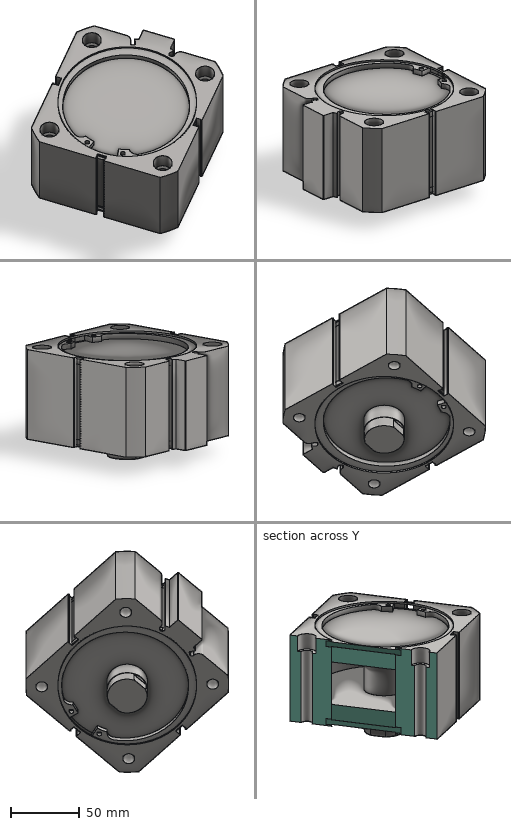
import cadquery as cq
import math

body_width = 115.0
body_height = 67.5
half_width = body_width / 2
corner_radius = 74.5
bore_radius = 50.95
bolt_spacing = 88.8
bolt_hole_diameter = 8.6
counterbore_diameter = 13.8
counterbore_depth = 12.0

slot_width = 6.8
slot_depth = 4.5
slot_mouth_width = 6.2
slot_throat_width = 5.4
slot_taper = 0.4
slot_lip = 0.9

rail_half_width = 12.35
rail_height = 9.0
rail_edge_chamfer = 0.4
rail_tip_x = 15.2
rail_tip_drop = 1.3
rail_tip_flat = 0.4
groove_radius = 2.0
groove_centre_y = 52.7
groove_entry_radius = 5.0

ring_recess = 1.4
ring_thickness = 4.0
ring_radius = 53.15
ring_inner_radius = 46.6
ring_inner_offset = 2.3
ear_radius = 43.45
ear_start_angle = 12.8
ear_end_angle = 23.3
ear_root_angle = 33.0
ear_hole_angle = 17.4
ear_hole_radius = 47.05
ear_hole_diameter = 3.3
ring_turn = -0.8

cover_thickness = 12.0

rod_radius = 15.0
rod_length_outside = 15.0
rod_shoulder = 6.6
rod_end_radius = 14.75
flat_distance = 27.0
end_chamfer_height = 1.0
end_chamfer_width = 0.25

cover_base = ring_recess + ring_thickness
cap_top = body_height - cover_base
cap_base = cap_top - cover_thickness


def make_block():
    """Square block with its corners rounded about the bore axis."""
    cylinder = cq.Workplane("XY").circle(corner_radius).extrude(body_height)
    block = cq.Workplane("XY").rect(body_width, body_width).extrude(body_height)
    return block.intersect(cylinder)


def make_rail():
    rail = (
        cq.Workplane("XY")
        .rect(2 * rail_half_width, 2 * rail_height)
        .extrude(body_height)
        .edges("|Z and >Y")
        .chamfer(rail_edge_chamfer)
    )
    return rail.translate((0, half_width, 0))


def make_slot():
    """Cutter for the lipped slot in the -Y side."""
    face_y = -half_width
    taper_y = face_y + slot_taper
    lip_y = face_y + slot_lip
    floor_y = face_y + slot_depth
    half_outline = [
        (slot_mouth_width / 2, face_y),
        (slot_throat_width / 2, taper_y),
        (slot_throat_width / 2, lip_y),
        (slot_width / 2, lip_y),
        (slot_width / 2, floor_y),
    ]
    other_half = [(-x, y) for x, y in reversed(half_outline)]
    return cq.Workplane("XY").polyline(half_outline + other_half).close().extrude(body_height)


def make_rail_groove():
    """Cutter for the undercut groove on the +X flank of the rail."""
    outer_x = rail_tip_x + groove_radius
    entry_x = outer_x + groove_entry_radius
    entry_centre_y = half_width - groove_entry_radius
    diagonal = groove_entry_radius * math.sqrt(0.5)
    tip_y = half_width - rail_tip_drop
    neck_angle = math.radians(135)
    neck_x = rail_tip_x + groove_radius * math.cos(neck_angle)
    neck_y = groove_centre_y + groove_radius * math.sin(neck_angle)
    return (
        cq.Workplane("XY")
        .moveTo(entry_x, half_width)
        .threePointArc(
            (entry_x - diagonal, entry_centre_y + diagonal),
            (outer_x, entry_centre_y),
        )
        .lineTo(outer_x, groove_centre_y)
        .threePointArc((rail_tip_x, groove_centre_y - groove_radius), (neck_x, neck_y))
        .lineTo(rail_tip_x, tip_y - rail_tip_flat)
        .lineTo(rail_tip_x, tip_y)
        .lineTo(rail_half_width, half_width)
        .close()
        .extrude(body_height)
    )


def make_ring_groove(base):
    return cq.Workplane("XY").workplane(offset=base).circle(ring_radius).extrude(ring_thickness)


def make_housing():
    housing = make_block().union(make_rail())
    housing = housing.cut(cq.Workplane("XY").circle(bore_radius).extrude(body_height))
    for turn in (0, 90, -90):
        housing = housing.cut(make_slot().rotate((0, 0, 0), (0, 0, 1), turn))
    groove = make_rail_groove()
    housing = housing.cut(groove).cut(groove.mirror("YZ"))
    for base in (ring_recess, cap_top):
        housing = housing.cut(make_ring_groove(base))
    return (
        housing.faces(">Z")
        .workplane(origin=(0, 0, body_height))
        .rect(bolt_spacing, bolt_spacing, forConstruction=True)
        .vertices()
        .cboreHole(bolt_hole_diameter, counterbore_diameter, counterbore_depth)
    )


def polar(radius, angle, side=1):
    """Point at an angle in degrees from -Y, on the +X (1) or -X (-1) side."""
    radians = math.radians(angle)
    return (side * radius * math.sin(radians), -radius * math.cos(radians))


def ear_root():
    """Point on the shifted inner circle where the +X ear begins."""
    x, y = polar(ring_inner_radius, ear_root_angle)
    return (x, y - ring_inner_offset)


def ear_root_middle(side):
    """Middle of the arc that leaves the inner circle tangentially and ends on the ear corner."""
    root_x, root_y = ear_root()
    corner_x, corner_y = polar(ear_radius, ear_end_angle)
    inward_x, inward_y = polar(-1, ear_root_angle)
    chord_x = corner_x - root_x
    chord_y = corner_y - root_y
    chord_squared = chord_x**2 + chord_y**2
    radius = chord_squared / (2 * (chord_x * inward_x + chord_y * inward_y))
    centre_x = root_x + radius * inward_x
    centre_y = root_y + radius * inward_y
    middle_x = (root_x + corner_x) / 2 - centre_x
    middle_y = (root_y + corner_y) / 2 - centre_y
    scale = radius / math.hypot(middle_x, middle_y)
    return (side * (centre_x + scale * middle_x), centre_y + scale * middle_y)


def make_ring(base):
    """Retaining ring with two eared ends either side of a gap facing -Y."""
    ear_mid_angle = (ear_start_angle + ear_end_angle) / 2
    inner_top = (0, ring_inner_radius - ring_inner_offset)
    root_x, root_y = ear_root()
    ring = (
        cq.Workplane("XY")
        .moveTo(*polar(ring_radius, ear_start_angle, -1))
        .threePointArc((0, ring_radius), polar(ring_radius, ear_start_angle))
        .lineTo(*polar(ear_radius, ear_start_angle))
        .threePointArc(polar(ear_radius, ear_mid_angle), polar(ear_radius, ear_end_angle))
        .threePointArc(ear_root_middle(1), (root_x, root_y))
        .threePointArc(inner_top, (-root_x, root_y))
        .threePointArc(ear_root_middle(-1), polar(ear_radius, ear_end_angle, -1))
        .threePointArc(
            polar(ear_radius, ear_mid_angle, -1),
            polar(ear_radius, ear_start_angle, -1),
        )
        .close()
        .extrude(ring_thickness)
    )
    ear_holes = (
        cq.Workplane("XY")
        .pushPoints([polar(ear_hole_radius, ear_hole_angle, side) for side in (-1, 1)])
        .circle(ear_hole_diameter / 2)
        .extrude(ring_thickness)
    )
    ring = ring.cut(ear_holes).rotate((0, 0, 0), (0, 0, 1), ring_turn)
    return ring.translate((0, 0, base))


def make_end_cap():
    return cq.Workplane("XY").workplane(offset=cap_base).circle(bore_radius).extrude(cover_thickness)


def make_rod_cover():
    return (
        cq.Workplane("XY")
        .workplane(offset=cover_base)
        .circle(bore_radius)
        .circle(rod_radius)
        .extrude(cover_thickness)
    )


def make_flat_cutter():
    """Cutter for the -Y wrench flat, with a 45 degree run-out below the shoulder."""
    flat_y = flat_distance / 2
    runout = rod_end_radius - flat_y
    return (
        cq.Workplane("YZ")
        .moveTo(-rod_end_radius, -rod_shoulder)
        .lineTo(-flat_y, -rod_shoulder - runout)
        .lineTo(-flat_y, -rod_length_outside)
        .lineTo(-rod_radius, -rod_length_outside)
        .lineTo(-rod_radius, -rod_shoulder)
        .close()
        .extrude(rod_radius, both=True)
    )


def make_rod():
    """Rod from the end cap, through the rod cover, to its flatted outer end."""
    rod = (
        cq.Workplane("XZ")
        .moveTo(0, -rod_length_outside)
        .lineTo(rod_end_radius - end_chamfer_width, -rod_length_outside)
        .lineTo(rod_end_radius, end_chamfer_height - rod_length_outside)
        .lineTo(rod_end_radius, -rod_shoulder)
        .lineTo(rod_radius, -rod_shoulder)
        .lineTo(rod_radius, cap_base)
        .lineTo(0, cap_base)
        .close()
        .revolve(360, (0, 0, 0), (0, 1, 0))
    )
    flat = make_flat_cutter()
    return rod.cut(flat).cut(flat.mirror("XZ"))


housing = make_housing()
rings = [make_ring(base) for base in (ring_recess, cap_top)]
end_cap = make_end_cap()
rod_cover = make_rod_cover()
rod = make_rod()

result = cq.Compound.makeCompound(
    [housing.val(), *[ring.val() for ring in rings], end_cap.val(), rod_cover.val(), rod.val()]
)